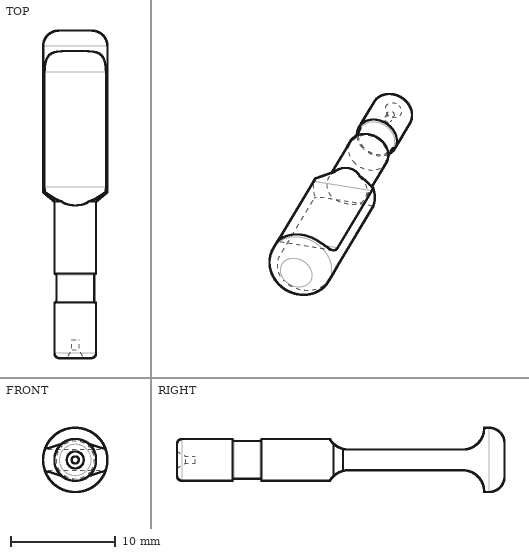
import cadquery as cq
import math

length = 31.5
head_diameter = 6.2
head_radius = head_diameter / 2
head_rounding = 1.5
shaft_radius = 2.02
tip_rounding = 0.5

groove_radius = 1.83
groove_start = 5.35
groove_end = 8.13
groove_corner_radius = 0.13

shoulder_start = 15.05
shoulder_end = 15.97

flat_half_thickness = 1.0
flat_start = 16.45
flat_end = 27.5
runout_radius = 2.02
cutter_reach = 2 * head_radius

cone_mouth_radius = 0.82
pilot_radius = 0.35
pilot_length = 0.95
cone_half_angle = math.radians(30)
cone_depth = (cone_mouth_radius - pilot_radius) / math.tan(cone_half_angle)


def arc_midpoint(radius):
    """Distance from a quarter arc's tangent corner to its middle, along each side."""
    return radius * (1 - math.sqrt(0.5))


def turned_body():
    tip_mid = arc_midpoint(tip_rounding)
    head_mid = arc_midpoint(head_rounding)
    corner_mid = arc_midpoint(groove_corner_radius)
    corner_top = groove_radius + groove_corner_radius
    profile = (
        cq.Workplane("XY")
        .moveTo(0, 0)
        .lineTo(shaft_radius - tip_rounding, 0)
        .threePointArc((shaft_radius - tip_mid, tip_mid), (shaft_radius, tip_rounding))
        .lineTo(shaft_radius, groove_start)
        .lineTo(corner_top, groove_start)
        .threePointArc(
            (groove_radius + corner_mid, groove_start + corner_mid),
            (groove_radius, groove_start + groove_corner_radius),
        )
        .lineTo(groove_radius, groove_end - groove_corner_radius)
        .threePointArc(
            (groove_radius + corner_mid, groove_end - corner_mid),
            (corner_top, groove_end),
        )
        .lineTo(shaft_radius, groove_end)
        .lineTo(shaft_radius, shoulder_start)
        .lineTo(head_radius, shoulder_end)
        .lineTo(head_radius, length - head_rounding)
        .threePointArc(
            (head_radius - head_mid, length - head_mid),
            (head_radius - head_rounding, length),
        )
        .lineTo(0, length)
        .close()
    )
    return profile.revolve(360, (0, 0, 0), (0, 1, 0))


def flat_cutter():
    """Cutter for the upper flat, with a tangent arc at each end and clear of the head above."""
    runout_mid = arc_midpoint(runout_radius)
    arc_top = flat_half_thickness + runout_radius
    return (
        cq.Workplane("YZ")
        .moveTo(flat_start, flat_half_thickness)
        .lineTo(flat_end, flat_half_thickness)
        .threePointArc(
            (flat_end + runout_radius - runout_mid, arc_top - runout_radius + runout_mid),
            (flat_end + runout_radius, arc_top),
        )
        .lineTo(flat_end + runout_radius, cutter_reach)
        .lineTo(flat_start - runout_radius, cutter_reach)
        .lineTo(flat_start - runout_radius, arc_top)
        .threePointArc(
            (flat_start - runout_radius + runout_mid, arc_top - runout_radius + runout_mid),
            (flat_start, flat_half_thickness),
        )
        .close()
        .extrude(cutter_reach, both=True)
    )


def centre_hole():
    return (
        cq.Workplane("XY")
        .moveTo(0, 0)
        .lineTo(cone_mouth_radius, 0)
        .lineTo(pilot_radius, cone_depth)
        .lineTo(pilot_radius, cone_depth + pilot_length)
        .lineTo(0, cone_depth + pilot_length)
        .close()
        .revolve(360, (0, 0, 0), (0, 1, 0))
    )


upper_cutter = flat_cutter()
lower_cutter = upper_cutter.mirror("XY")
result = turned_body().cut(upper_cutter).cut(lower_cutter).cut(centre_hole())